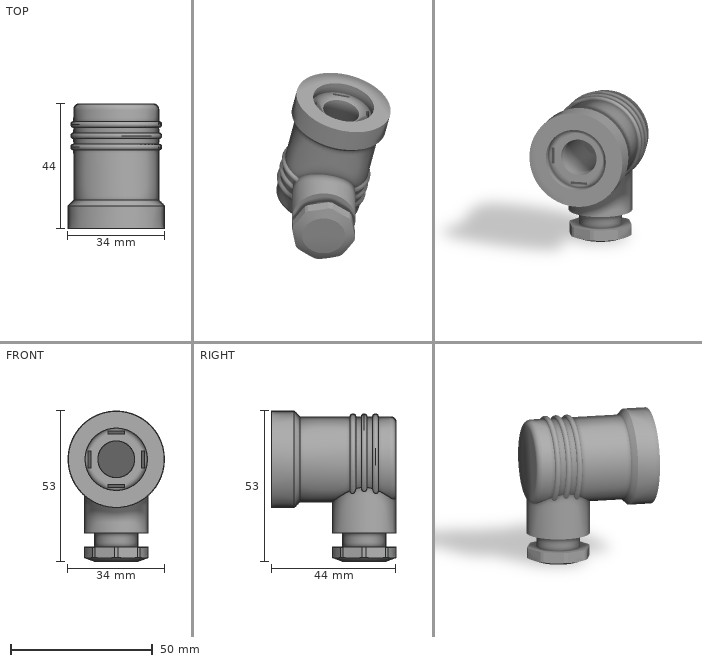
import cadquery as cq
import math

length = 44.0
body_diameter = 30.0
collar_diameter = 34.0
collar_length = 8.0
back_rounding = 2.0

branch_diameter = 22.5
branch_bottom = -26.0
branch_y = length - branch_diameter / 2

neck_diameter = 15.2
neck_length = 5.0
overall_height = 53.0
part_bottom = collar_diameter / 2 - overall_height
nut_top = branch_bottom - neck_length
nut_height = nut_top - part_bottom

nut_sides = 8
nut_across_flats = 21.3
nut_corner_diameter = branch_diameter
nut_chamfer_height = 1.3

bead_radius = 1.0
bead_pitch = 4.0
bead_count = 3

recess_diameter = 22.0
recess_depth = 4.0
bore_diameter = 13.0
bore_depth = 31.8
slot_length = 6.0
slot_width = 1.0
slot_depth = 2.0
slot_offset = 9.5
slot_count = 4


def round_pocket(diameter, depth):
    """Cutter on the barrel axis, sunk from the open end toward +Y."""
    return cq.Workplane("XZ").circle(diameter / 2).extrude(-depth)


def z_cylinder(diameter, bottom, top):
    """Cylinder on the branch axis between two heights."""
    return cq.Workplane("XY", origin=(0, branch_y, bottom)).circle(diameter / 2).extrude(top - bottom)


def make_barrel():
    """Turned barrel with a bevelled collar and a rounded back edge."""
    body_radius = body_diameter / 2
    collar_radius = collar_diameter / 2
    bevel = collar_radius - body_radius
    barrel = (
        cq.Workplane("XY")
        .lineTo(collar_radius, 0)
        .lineTo(collar_radius, collar_length)
        .lineTo(body_radius, collar_length + bevel)
        .lineTo(body_radius, length)
        .lineTo(0, length)
        .close()
        .revolve(360, (0, 0, 0), (0, 1, 0))
    )
    return barrel.faces(">Y").edges().fillet(back_rounding)


def make_bead(y):
    """Round grip bead with its centre circle on the barrel surface."""
    return cq.Workplane(
        cq.Solid.makeTorus(body_diameter / 2, bead_radius, cq.Vector(0, y, 0), cq.Vector(0, 1, 0))
    )


def make_nut():
    """Octagonal nut with turned corners and a conical lower chamfer."""
    circumscribed_diameter = nut_across_flats / math.cos(math.pi / nut_sides)
    prism = (
        cq.Workplane("XY", origin=(0, branch_y, part_bottom))
        .polygon(nut_sides, circumscribed_diameter)
        .extrude(nut_height)
    )
    corner_radius = nut_corner_diameter / 2
    envelope = (
        cq.Workplane("XZ", origin=(0, branch_y, part_bottom))
        .lineTo(neck_diameter / 2, 0)
        .lineTo(corner_radius, nut_chamfer_height)
        .lineTo(corner_radius, nut_height)
        .lineTo(0, nut_height)
        .close()
        .revolve(360, (0, 0, 0), (0, 1, 0))
    )
    return prism.intersect(envelope)


def make_slot(angle):
    """Cutter for a narrow slot in the recess floor, turned about the barrel axis."""
    return (
        cq.Workplane("XY")
        .box(slot_length, slot_depth, slot_width, centered=(True, False, True))
        .translate((0, recess_depth, slot_offset))
        .rotate((0, 0, 0), (0, 1, 0), angle)
    )


result = make_barrel().union(z_cylinder(branch_diameter, branch_bottom, 0))
for index in range(bead_count):
    bead_y = branch_y + (index - (bead_count - 1) / 2) * bead_pitch
    result = result.union(make_bead(bead_y))
result = result.union(z_cylinder(neck_diameter, nut_top, branch_bottom)).union(make_nut())

result = result.cut(round_pocket(recess_diameter, recess_depth))
result = result.cut(round_pocket(bore_diameter, bore_depth))
for index in range(slot_count):
    result = result.cut(make_slot(index * 360 / slot_count))